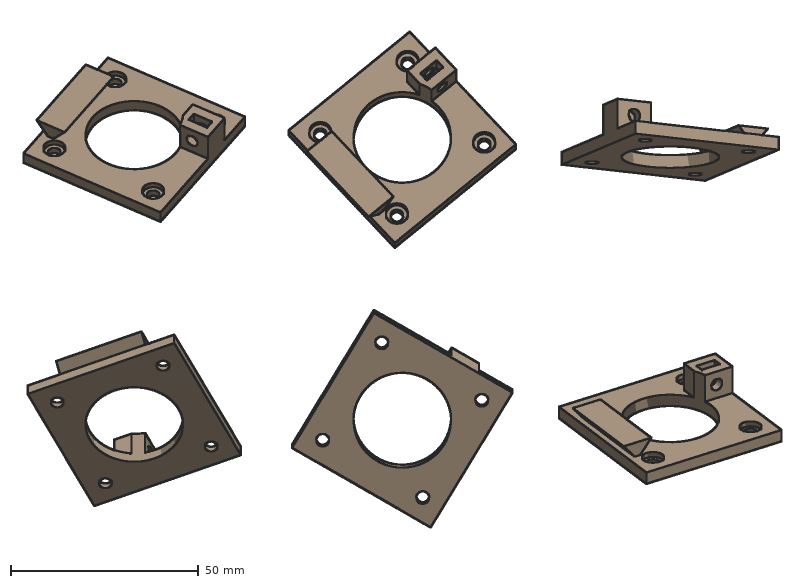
import cadquery as cq
import math

PLATE_SIDE = 43.0
PLATE_THICKNESS = 3.5
BORE_DIAMETER = 26.0

SCREW_SPACING = 31.0
SCREW_DIAMETER = 3.4
HEAD_DIAMETER = 5.9
HEAD_DEPTH = 1.5

RAIL_LENGTH = 25.0
RAIL_HEIGHT = 4.2
RAIL_TOP_WIDTH = 8.8
RAIL_FOOT_WIDTH = 1.8
RAIL_OVERHANG = 1.4

BLOCK_LENGTH = 10.0
BLOCK_WIDTH = 8.5
BLOCK_HEIGHT = 8.1
BLOCK_CENTER_Y = 6.87

CROSS_HOLE_X = 16.5
CROSS_HOLE_HEIGHT = 4.1
NUT_ACROSS_FLATS = 5.7
NUT_SLOT_WIDTH = 2.6

plate_edge = PLATE_SIDE / 2
block_top = PLATE_THICKNESS + BLOCK_HEIGHT
cross_hole_z = PLATE_THICKNESS + CROSS_HOLE_HEIGHT


def make_plate():
    return cq.Workplane("XY").rect(PLATE_SIDE, PLATE_SIDE).extrude(PLATE_THICKNESS)


def make_rail():
    """Dovetail rail that widens upward and hangs over the plate edge."""
    center_x = -plate_edge - RAIL_OVERHANG + RAIL_TOP_WIDTH / 2
    rail_top = PLATE_THICKNESS + RAIL_HEIGHT
    return (
        cq.Workplane("XZ")
        .moveTo(center_x - RAIL_FOOT_WIDTH / 2, PLATE_THICKNESS)
        .lineTo(center_x + RAIL_FOOT_WIDTH / 2, PLATE_THICKNESS)
        .lineTo(center_x + RAIL_TOP_WIDTH / 2, rail_top)
        .lineTo(center_x - RAIL_TOP_WIDTH / 2, rail_top)
        .close()
        .extrude(RAIL_LENGTH / 2, both=True)
    )


def make_block():
    """Clamp block, flush with the +X edge of the plate."""
    return (
        cq.Workplane("XY")
        .workplane(offset=PLATE_THICKNESS)
        .center(plate_edge - BLOCK_LENGTH / 2, BLOCK_CENTER_Y)
        .rect(BLOCK_LENGTH, BLOCK_WIDTH)
        .extrude(BLOCK_HEIGHT)
    )


def make_bore():
    """Central bore, which also trims the inner corner of the block."""
    return cq.Workplane("XY").circle(BORE_DIAMETER / 2).extrude(block_top)


def make_screw_holes():
    """Through holes at the plate corners with head recesses from above."""
    holes = (
        cq.Workplane("XY")
        .rect(SCREW_SPACING, SCREW_SPACING, forConstruction=True)
        .vertices()
        .circle(SCREW_DIAMETER / 2)
        .extrude(PLATE_THICKNESS)
    )
    recesses = (
        cq.Workplane("XY")
        .workplane(offset=PLATE_THICKNESS - HEAD_DEPTH)
        .rect(SCREW_SPACING, SCREW_SPACING, forConstruction=True)
        .vertices()
        .circle(HEAD_DIAMETER / 2)
        .extrude(HEAD_DEPTH)
    )
    return holes.union(recesses)


def make_cross_hole():
    """Screw hole through the block along Y."""
    return (
        cq.Workplane("XZ", origin=(CROSS_HOLE_X, BLOCK_CENTER_Y, cross_hole_z))
        .circle(SCREW_DIAMETER / 2)
        .extrude(BLOCK_WIDTH, both=True)
    )


def make_nut_slot():
    """Slot open at the top whose floor is the lower half of a hexagon, point down."""
    half_flats = NUT_ACROSS_FLATS / 2
    point_radius = NUT_ACROSS_FLATS / math.sqrt(3)
    slot_top = block_top - cross_hole_z
    return (
        cq.Workplane("XZ", origin=(CROSS_HOLE_X, BLOCK_CENTER_Y, cross_hole_z))
        .moveTo(0, -point_radius)
        .lineTo(half_flats, -point_radius / 2)
        .lineTo(half_flats, slot_top)
        .lineTo(-half_flats, slot_top)
        .lineTo(-half_flats, -point_radius / 2)
        .close()
        .extrude(NUT_SLOT_WIDTH / 2, both=True)
    )


result = (
    make_plate()
    .union(make_rail())
    .union(make_block())
    .cut(make_bore())
    .cut(make_screw_holes())
    .cut(make_cross_hole())
    .cut(make_nut_slot())
)